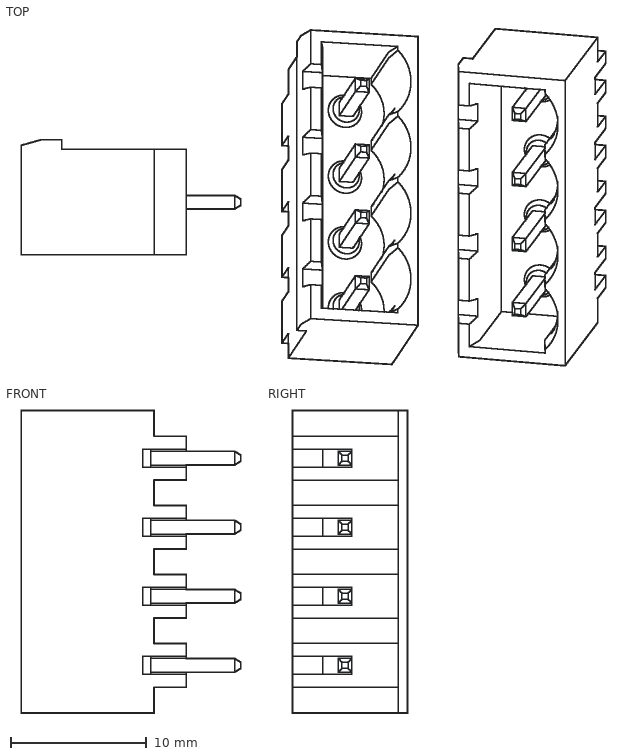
import cadquery as cq


PIN_COUNT = 4
PITCH = 5.1
PIN_Y = 3.88
PIN_SIDE = 1.03
PIN_START = 1.1
PIN_END = 16.2
TIP_SIDE = 0.45
TIP_LENGTH = 0.47

HEIGHT = 22.32
DEPTH = 7.8
BODY_LENGTH = 9.8
END_WALL = 0.87

LIP_DEPTH = 8.5
LIP_LENGTH = 3.01
LIP_BEVEL = 0.42
LIP_BEVEL_LENGTH = 1.5

CAVITY_LENGTH = 8.04
CAVITY_NEAR_Y = 1.92
CAVITY_FAR_Y = 6.87
SCALLOP_RADIUS = 2.95
FLARE = 0.4
FLARE_LENGTH = 1.5

BOSS_BASE_RADIUS = 1.25
BOSS_TOP_RADIUS = 0.98
BOSS_HEIGHT = 0.45

NOTCH_MOUTH = 1.8
NOTCH_FLOOR = 1.36
NOTCH_LENGTH = 1.25

TAB_END = 12.19
TAB_WIDTH = 3.24
SLOT_WIDTH = 1.32
SLOT_START = 8.97
SLOT_STEP = 9.58
SLOT_SHALLOW_DEPTH = 2.23
SLOT_FULL_DEPTH = PIN_Y + PIN_SIDE / 2

PIN_HEIGHTS = [(i - (PIN_COUNT - 1) / 2) * PITCH for i in range(PIN_COUNT)]


def box(x_range, y_range, z_centre, z_size):
    """Box spanning the given X and Y ranges, centred on z_centre."""
    return (
        cq.Workplane("XY", origin=(0, 0, z_centre - z_size / 2))
        .moveTo(x_range[0], y_range[0])
        .lineTo(x_range[1], y_range[0])
        .lineTo(x_range[1], y_range[1])
        .lineTo(x_range[0], y_range[1])
        .close()
        .extrude(z_size)
    )


def turned(profile, z):
    """Solid of revolution about a pin axis, from (x, radius) points."""
    start = (profile[0][0], 0)
    end = (profile[-1][0], 0)
    return (
        cq.Workplane("XY", origin=(0, PIN_Y, z))
        .polyline([start] + profile + [end])
        .close()
        .revolve(360, (0, 0, 0), (1, 0, 0))
    )


def housing_block():
    """Solid outline with the bevelled lip."""
    return (
        cq.Workplane("XY", origin=(0, 0, -HEIGHT / 2))
        .lineTo(BODY_LENGTH, 0)
        .lineTo(BODY_LENGTH, DEPTH)
        .lineTo(LIP_LENGTH, DEPTH)
        .lineTo(LIP_LENGTH, LIP_DEPTH)
        .lineTo(LIP_BEVEL_LENGTH, LIP_DEPTH)
        .lineTo(0, LIP_DEPTH - LIP_BEVEL)
        .close()
        .extrude(HEIGHT)
    )


def cavity():
    """Trough and scallops, flared toward the mouth."""
    height = HEIGHT - 2 * END_WALL
    space = (
        cq.Workplane("XY", origin=(0, 0, -height / 2))
        .moveTo(0, CAVITY_NEAR_Y - FLARE)
        .lineTo(FLARE_LENGTH, CAVITY_NEAR_Y)
        .lineTo(CAVITY_LENGTH, CAVITY_NEAR_Y)
        .lineTo(CAVITY_LENGTH, CAVITY_FAR_Y)
        .lineTo(FLARE_LENGTH, CAVITY_FAR_Y)
        .lineTo(0, CAVITY_FAR_Y + FLARE)
        .close()
        .extrude(height)
    )
    scallop_profile = [
        (0, SCALLOP_RADIUS + FLARE),
        (FLARE_LENGTH, SCALLOP_RADIUS),
        (CAVITY_LENGTH, SCALLOP_RADIUS),
    ]
    near_half = box((0, CAVITY_LENGTH), (0, PIN_Y), 0, height)
    for z in PIN_HEIGHTS:
        space = space.union(turned(scallop_profile, z).intersect(near_half))
    return space


def boss(z):
    floor = CAVITY_LENGTH
    return turned([(floor - BOSS_HEIGHT, BOSS_TOP_RADIUS), (floor, BOSS_BASE_RADIUS)], z)


def notch(z):
    """Tapered cut through the lip, narrowing away from the mouth."""
    return (
        cq.Workplane("XZ", origin=(0, LIP_DEPTH, z))
        .moveTo(0, -NOTCH_MOUTH / 2)
        .lineTo(NOTCH_LENGTH, -NOTCH_FLOOR / 2)
        .lineTo(NOTCH_LENGTH, NOTCH_FLOOR / 2)
        .lineTo(0, NOTCH_MOUTH / 2)
        .close()
        .extrude(LIP_DEPTH - PIN_Y)
    )


def tab(z):
    return box((BODY_LENGTH, TAB_END), (0, DEPTH), z, TAB_WIDTH)


def slot(z):
    """Slot open to Y = 0 and the tab end, deeper beyond the step."""
    shallow = box((SLOT_START, TAB_END), (0, SLOT_SHALLOW_DEPTH), z, SLOT_WIDTH)
    deep = box((SLOT_STEP, TAB_END), (0, SLOT_FULL_DEPTH), z, SLOT_WIDTH)
    return shallow.union(deep)


def pin(z):
    """Square pin with a blunt pyramid at both ends."""
    shank_start = PIN_START + TIP_LENGTH
    shank_end = PIN_END - TIP_LENGTH
    shank = cq.Workplane("YZ", origin=(shank_start, PIN_Y, z)).rect(PIN_SIDE, PIN_SIDE)
    shank = shank.extrude(shank_end - shank_start)
    for shank_face, direction in ((shank_start, -1), (shank_end, 1)):
        tip = (
            cq.Workplane("YZ", origin=(shank_face, PIN_Y, z))
            .rect(PIN_SIDE, PIN_SIDE)
            .workplane(offset=direction * TIP_LENGTH)
            .rect(TIP_SIDE, TIP_SIDE)
            .loft(ruled=True)
        )
        shank = shank.union(tip)
    return shank


result = housing_block().cut(cavity())
for pin_z in PIN_HEIGHTS:
    result = result.union(tab(pin_z)).union(boss(pin_z))
    result = result.cut(notch(pin_z)).cut(slot(pin_z))
    result = result.union(pin(pin_z))